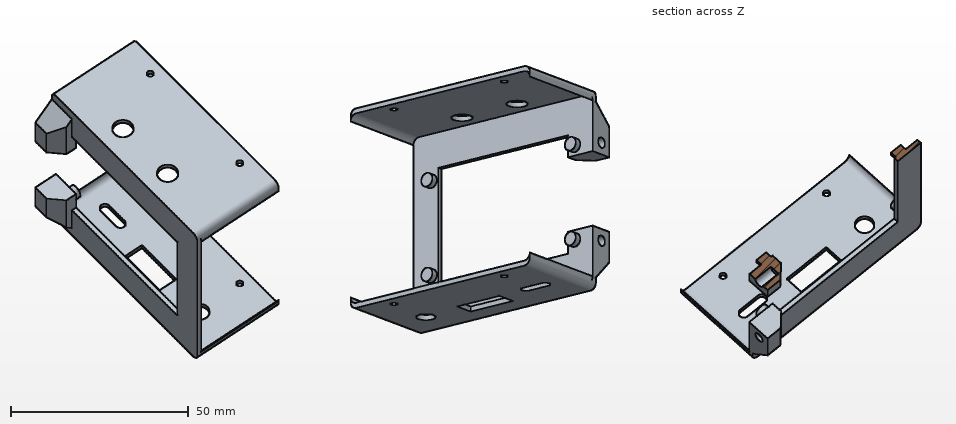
import cadquery as cq

LENGTH = 65.0
DEPTH = 29.5
HEIGHT = 59.0
WALL = 1.5
CORNER_RADIUS = 2.0
MID_HEIGHT = HEIGHT / 2
MID_LENGTH = LENGTH / 2

RAIL_HEIGHT = 12.0
POST_WIDTH = 9.0

BLOCK_WIDTH = 9.0
BLOCK_HEIGHT = 15.0
BLOCK_PROTRUSION = 6.0
BLOCK_GAP = 22.0
BLOCK_SIDE_CHAMFER = 4.0
BLOCK_HOLE_DIAMETER = 3.0
BLOCK_HOLE_DEPTH = 6.0
BLOCK_HOLE_Y = -2.5
BLOCK_HOLE_INSET = 3.5

PIN_DIAMETER = 4.0
PIN_LENGTH = 2.0
PIN_SPACING_X = 52.0
PIN_SPACING_Z = 28.0

SCREW_DIAMETER = 2.0
SCREW_SPACING = 40.0
SCREW_BACK_INSET = 4.0

TOP_HOLE_DIAMETER = 6.0
TOP_HOLE_SPACING = 20.0
TOP_HOLE_Y = 7.5

WINDOW_LENGTH = 15.3
WINDOW_FRONT_Y = 6.5
WINDOW_BACK_Y = 12.5
SLOT_WIDTH = 3.0
SLOT_LENGTH = 9.9
SLOT_X = 11.75
SLOT_Y = 12.5
ROUND_HOLE_DIAMETER = 5.5
ROUND_HOLE_X = 53.1
ROUND_HOLE_Y = 10.55


def rounded_bar(height, y_start, y_end):
    """Bar along Y with rounded long edges, centred on the frame's mid height."""
    return (
        cq.Workplane("XY")
        .box(LENGTH, y_end - y_start, height, centered=(False, False, True))
        .edges("|Y")
        .fillet(CORNER_RADIUS)
        .translate((0, y_start, MID_HEIGHT))
    )


def frame():
    """Top and bottom plates joined by a front wall with a window open on the -X side."""
    shell = rounded_bar(HEIGHT, 0, DEPTH).cut(rounded_bar(HEIGHT - 2 * WALL, WALL, DEPTH))
    window = cq.Workplane("XY").box(
        LENGTH - POST_WIDTH, WALL, HEIGHT - 2 * RAIL_HEIGHT, centered=False
    )
    return shell.cut(window.translate((0, 0, RAIL_HEIGHT)))


def upper_block():
    """Clamp block with a sloped top, a chamfered inner corner and a blind hole from the -X end."""
    bottom = MID_HEIGHT + BLOCK_GAP / 2
    top = bottom + BLOCK_HEIGHT
    block = (
        cq.Workplane("YZ")
        .moveTo(WALL, bottom)
        .lineTo(-BLOCK_PROTRUSION, bottom)
        .lineTo(-BLOCK_PROTRUSION, top - BLOCK_PROTRUSION)
        .lineTo(0, top)
        .lineTo(WALL, top)
        .close()
        .extrude(BLOCK_WIDTH)
    )
    corner = (
        cq.Workplane("XY")
        .moveTo(BLOCK_WIDTH, -BLOCK_PROTRUSION)
        .lineTo(BLOCK_WIDTH - BLOCK_SIDE_CHAMFER, -BLOCK_PROTRUSION)
        .lineTo(BLOCK_WIDTH, BLOCK_SIDE_CHAMFER - BLOCK_PROTRUSION)
        .close()
        .extrude(HEIGHT)
    )
    hole = (
        cq.Workplane("YZ")
        .center(BLOCK_HOLE_Y, bottom + BLOCK_HOLE_INSET)
        .circle(BLOCK_HOLE_DIAMETER / 2)
        .extrude(BLOCK_HOLE_DEPTH)
    )
    return block.cut(corner).cut(hole)


def pins():
    """Four pins standing on the back of the front wall."""
    return (
        cq.Workplane("XZ", origin=(MID_LENGTH, WALL, MID_HEIGHT))
        .rarray(PIN_SPACING_X, PIN_SPACING_Z, 2, 2)
        .circle(PIN_DIAMETER / 2)
        .extrude(-PIN_LENGTH)
    )


def hole_pair(diameter, spacing, y, z_start, height):
    """Cutter for two vertical holes placed evenly about the middle of the length."""
    return (
        cq.Workplane("XY", origin=(MID_LENGTH, y, z_start))
        .rarray(spacing, 1, 2, 1)
        .circle(diameter / 2)
        .extrude(height)
    )


def bottom_openings():
    """Cutter for the rectangular window, the slot and the round hole of the bottom plate."""
    window_depth = WINDOW_BACK_Y - WINDOW_FRONT_Y
    window = (
        cq.Workplane("XY")
        .center(MID_LENGTH, WINDOW_FRONT_Y + window_depth / 2)
        .rect(WINDOW_LENGTH, window_depth)
        .extrude(WALL)
    )
    slot = cq.Workplane("XY").center(SLOT_X, SLOT_Y).slot2D(SLOT_LENGTH, SLOT_WIDTH).extrude(WALL)
    round_hole = (
        cq.Workplane("XY")
        .center(ROUND_HOLE_X, ROUND_HOLE_Y)
        .circle(ROUND_HOLE_DIAMETER / 2)
        .extrude(WALL)
    )
    return window.union(slot).union(round_hole)


block = upper_block()
lower_block = block.mirror("XY", (0, 0, MID_HEIGHT))
screw_holes = hole_pair(SCREW_DIAMETER, SCREW_SPACING, DEPTH - SCREW_BACK_INSET, 0, HEIGHT)
top_holes = hole_pair(TOP_HOLE_DIAMETER, TOP_HOLE_SPACING, TOP_HOLE_Y, HEIGHT - WALL, WALL)

result = (
    frame()
    .union(block)
    .union(lower_block)
    .union(pins())
    .cut(screw_holes)
    .cut(top_holes)
    .cut(bottom_openings())
)